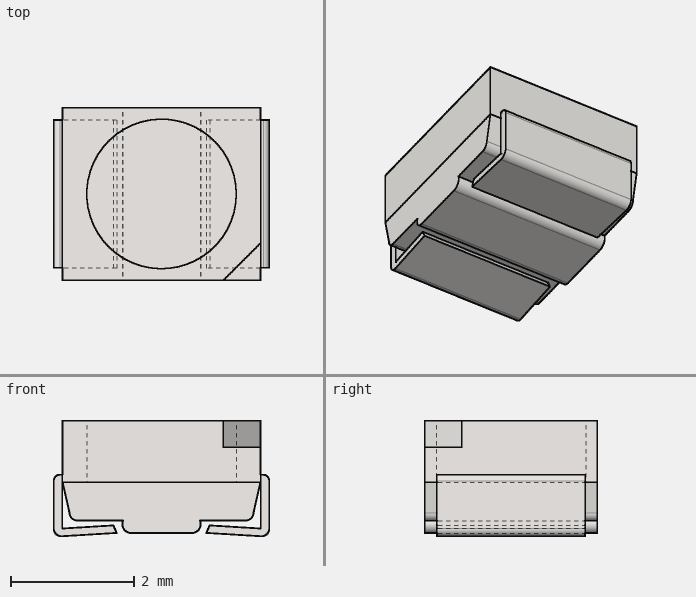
import cadquery as cq
import math

total_length = 3.5
total_height = 1.88
body_width = 2.8

terminal_thickness = 0.145
terminal_width = 2.4
terminal_height = 1.0
terminal_top_radius = 0.1
heel_radius = 0.13
heel_inner_height = 0.13
foot_angle = 3.5
foot_top_reach = 0.97
foot_bottom_reach = 1.025

body_length = total_length - 2 * terminal_thickness
housing_height = 1.0
split_height = total_height - housing_height
corner_mark_leg = 0.602
corner_mark_depth = 0.435

lens_diameter = 2.425

base_bottom = 0.255
base_taper = 0.112
base_edge_radius = 0.13
rib_length = 1.275
rib_bottom = 0.052
rib_radius = 0.147


def extrude_across(profile, width):
    """Extrude an XZ profile to a width centred on Y = 0."""
    return profile.close().extrude(width / 2, both=True)


def make_lens():
    return (
        cq.Workplane("XY")
        .workplane(offset=split_height)
        .circle(lens_diameter / 2)
        .extrude(housing_height)
    )


def make_housing(lens):
    block = (
        cq.Workplane("XY")
        .workplane(offset=split_height)
        .rect(body_length, body_width)
        .extrude(housing_height)
    )
    corner_x = body_length / 2
    corner_y = -body_width / 2
    corner_mark = (
        cq.Workplane("XY")
        .workplane(offset=total_height - corner_mark_depth)
        .moveTo(corner_x, corner_y)
        .lineTo(corner_x, corner_y + corner_mark_leg)
        .lineTo(corner_x - corner_mark_leg, corner_y)
        .close()
        .extrude(corner_mark_depth)
    )
    return block.cut(corner_mark).cut(lens)


def make_base():
    top_x = body_length / 2
    round_x = top_x - base_taper
    bottom_x = round_x - base_edge_radius
    edge_z = base_bottom + base_edge_radius
    tapered_block = extrude_across(
        cq.Workplane("XZ")
        .moveTo(-top_x, split_height)
        .lineTo(-round_x, edge_z)
        .radiusArc((-bottom_x, base_bottom), -base_edge_radius)
        .lineTo(bottom_x, base_bottom)
        .radiusArc((round_x, edge_z), -base_edge_radius)
        .lineTo(top_x, split_height),
        body_width,
    )

    flat_x = rib_length / 2 - rib_radius
    rise_above_centre = base_bottom - rib_bottom - rib_radius
    root_x = flat_x + math.sqrt(rib_radius**2 - rise_above_centre**2)
    rib = extrude_across(
        cq.Workplane("XZ")
        .moveTo(-root_x, base_bottom)
        .radiusArc((-flat_x, rib_bottom), -rib_radius)
        .lineTo(flat_x, rib_bottom)
        .radiusArc((root_x, base_bottom), -rib_radius),
        body_width,
    )
    return tapered_block.union(rib)


def make_terminal(turn):
    """Build the terminal at the -X end, then turn it about Z by an angle in degrees."""
    slope = math.tan(math.radians(foot_angle))
    outer_x = -total_length / 2
    inner_x = outer_x + terminal_thickness
    heel_corner_z = heel_radius - heel_radius / math.cos(math.radians(foot_angle)) - heel_radius * slope
    foot_bottom_tip_z = heel_corner_z + foot_bottom_reach * slope
    foot_top_tip_z = heel_inner_height + (foot_top_reach - terminal_thickness) * slope
    strip = extrude_across(
        cq.Workplane("XZ")
        .moveTo(outer_x, terminal_height)
        .lineTo(outer_x, heel_corner_z)
        .lineTo(outer_x + foot_bottom_reach, foot_bottom_tip_z)
        .lineTo(outer_x + foot_top_reach, foot_top_tip_z)
        .lineTo(inner_x, heel_inner_height)
        .lineTo(inner_x, terminal_height),
        terminal_width,
    )
    strip = strip.edges("|Y and <Z").fillet(heel_radius)
    strip = strip.faces(">Z").edges("<X").fillet(terminal_top_radius)
    return strip.rotate((0, 0, 0), (0, 0, 1), turn)


lens = make_lens()
housing = make_housing(lens)
base = make_base()
terminals = [make_terminal(turn) for turn in (0, 180)]
bodies = [housing, lens, base, *terminals]

result = cq.Compound.makeCompound([body.solids().val() for body in bodies])